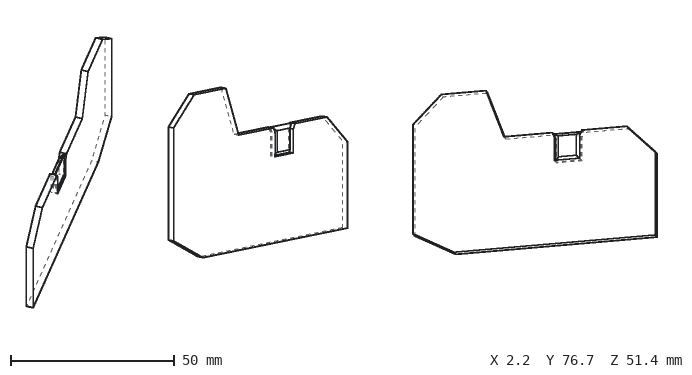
import cadquery as cq

thickness = 2.2
length = 76.7
height = 51.4
step_height = 36.0
step_foot_y = 47.9
step_head_y = 53.6
front_chamfer = 9.05
rear_chamfer = 9.05
heel_length = 13.05
heel_height = 7.1

window_start_y = 23.9
window_width = 8.0
window_depth = 9.05
mouth_flare = 0.7
mouth_depth = 1.6

tab_recess = 0.3
tab_bevel = 1.15
web_thickness = 0.2

tab_face_x = -thickness / 2 + tab_recess
origin_y = -length / 2
origin_z = -height / 2


def sketch_plane(x):
    """YZ plane at x whose origin is the lower -Y corner of the plate."""
    return cq.Workplane("YZ", origin=(x, origin_y, origin_z))


def make_plate():
    outline = [
        (0, 0),
        (length - heel_length, 0),
        (length, heel_height),
        (length, height - rear_chamfer),
        (length - rear_chamfer, height),
        (step_head_y, height),
        (step_foot_y, step_height),
        (front_chamfer, step_height),
        (0, step_height - front_chamfer),
    ]
    return sketch_plane(-thickness / 2).polyline(outline).close().extrude(thickness)


def window_outline(x):
    """Closed window outline at x: a rectangle with a flared mouth."""
    window_end_y = window_start_y + window_width
    mouth_z = step_height - mouth_depth
    bottom_z = step_height - window_depth
    points = [
        (window_start_y, bottom_z),
        (window_end_y, bottom_z),
        (window_end_y, mouth_z),
        (window_end_y + mouth_flare, step_height),
        (window_start_y - mouth_flare, step_height),
        (window_start_y, mouth_z),
    ]
    return sketch_plane(x).polyline(points).close()


def make_tab():
    slab_thickness = tab_bevel + web_thickness
    slab = window_outline(tab_face_x).extrude(slab_thickness)
    return slab.faces("<X").chamfer(tab_bevel)


window = window_outline(-thickness / 2).extrude(thickness)
result = make_plate().cut(window).union(make_tab())